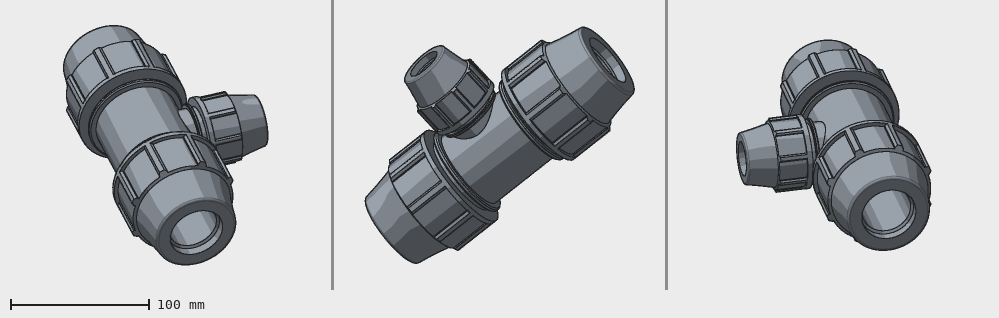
import cadquery as cq

run_length = 205.0
branch_reach = 84.0

rib_count = 8

run_end = dict(
    flange_radius=41.0,
    nut_radius=38.1,
    cone_radius=35.9,
    mouth_radius=30.3,
    cone_sag=0.51,
    mouth_fillet=1.8,
    cone_length=28.5,
    rib_slope=2.3,
    rib_tip_width=3.9,
    rib_width=6.8,
    rib_shoulder=39.0,
    flange_start=62.3,
    flange_end=65.8,
    collar_start=69.5,
    collar_end=73.4,
    collar_radius=35.7,
    collar_chamfer=1.0,
)
run_tube_radius = 30.8
run_bore_radius = 18.0
run_socket_radius = 40.0 / 2
run_socket_depth = 6.8
run_seat_length = 1.2

branch_end = dict(
    flange_radius=54.0 / 2,
    nut_radius=25.0,
    cone_radius=23.4,
    mouth_radius=18.9,
    cone_sag=0.27,
    mouth_fillet=1.2,
    cone_length=21.1,
    rib_slope=1.5,
    rib_tip_width=2.7,
    rib_width=4.5,
    rib_shoulder=25.6,
    flange_start=42.2,
    flange_end=46.1,
    collar_start=50.0,
    collar_end=52.5,
    collar_radius=47.0 / 2,
    collar_chamfer=0.6,
)
branch_tube_radius = 20.3
branch_bore_radius = 11.3
branch_socket_radius = 12.5
branch_socket_depth = 5.1
branch_seat_length = 0.8


def cylinder(radius, start, end):
    """Cylinder along Z between two heights."""
    return cq.Workplane("XY").workplane(offset=start).circle(radius).extrude(end - start)


def revolved(outline):
    """Turn a closed (radius, height) outline about Z."""
    return outline.close().revolve(360, (0, 0, 0), (0, 1, 0))


def cone(end):
    """Slightly flared cone with a rounded mouth edge."""
    mid_radius = (end["mouth_radius"] + end["cone_radius"]) / 2 - end["cone_sag"]
    outline = (
        cq.Workplane("XZ")
        .lineTo(end["mouth_radius"], 0)
        .threePointArc((mid_radius, end["cone_length"] / 2), (end["cone_radius"], end["cone_length"]))
        .lineTo(0, end["cone_length"])
    )
    return revolved(outline).faces("<Z").edges().fillet(end["mouth_fillet"])


def nut(end):
    """Flanged nut: its ribs are flush with the flange and share one sloped front."""
    front = end["cone_length"]
    back = end["flange_end"]
    envelope = revolved(
        cq.Workplane("XZ")
        .moveTo(0, front)
        .lineTo(end["cone_radius"], front)
        .lineTo(end["flange_radius"], front + end["rib_slope"])
        .lineTo(end["flange_radius"], back)
        .lineTo(0, back)
    )
    body = cylinder(end["nut_radius"], front, back)
    body = body.union(cylinder(end["flange_radius"], end["flange_start"], back))
    half_tip = end["rib_tip_width"] / 2
    half_width = end["rib_width"] / 2
    tip = end["flange_radius"]
    shoulder = end["rib_shoulder"]
    rib_outline = [
        (0, -half_width),
        (shoulder, -half_width),
        (tip, -half_tip),
        (tip, half_tip),
        (shoulder, half_width),
        (0, half_width),
    ]
    rib = cq.Workplane("XY").workplane(offset=front).polyline(rib_outline).close().extrude(back - front)
    pitch = 360 / rib_count
    for i in range(rib_count):
        body = body.union(rib.rotate((0, 0, 0), (0, 0, 1), (i + 0.5) * pitch))
    return body.intersect(envelope)


def collar(end):
    """Thin ring behind the nut, with both rims chamfered."""
    ring = cylinder(end["collar_radius"], end["collar_start"], end["collar_end"])
    return ring.faces("<Z or >Z").chamfer(end["collar_chamfer"])


def fitting_end(end):
    """Cone, nut and collar, with the mouth at Z = 0 and the axis towards +Z."""
    return cone(end).union(nut(end)).union(collar(end))


def socket(radius, depth, seat_length, bore_radius):
    """Round hole at a mouth whose conical seat narrows down to the bore."""
    return revolved(
        cq.Workplane("XZ")
        .lineTo(radius, 0)
        .lineTo(radius, depth)
        .lineTo(bore_radius, depth + seat_length)
        .lineTo(0, depth + seat_length)
    )


def placed_on_left(shape):
    """Lay an axial shape along +X with its mouth at the left end of the run."""
    return shape.rotate((0, 0, 0), (0, 1, 0), 90).translate((-run_length / 2, 0, 0))


def placed_on_branch(shape):
    """Lay an axial shape along -Y with its mouth at the end of the branch."""
    return shape.rotate((0, 0, 0), (1, 0, 0), 90).translate((0, branch_reach, 0))


run_tube = placed_on_left(cylinder(run_tube_radius, run_end["flange_end"], run_length - run_end["flange_end"]))
branch_tube = placed_on_branch(cylinder(branch_tube_radius, branch_end["flange_end"], branch_reach))
left_end = placed_on_left(fitting_end(run_end))
result = (
    run_tube.union(branch_tube)
    .union(left_end)
    .union(left_end.mirror("YZ"))
    .union(placed_on_branch(fitting_end(branch_end)))
)

run_socket = placed_on_left(
    socket(run_socket_radius, run_socket_depth, run_seat_length, run_bore_radius)
)
branch_socket = placed_on_branch(
    socket(branch_socket_radius, branch_socket_depth, branch_seat_length, branch_bore_radius)
)
result = (
    result.cut(placed_on_left(cylinder(run_bore_radius, 0, run_length)))
    .cut(run_socket)
    .cut(run_socket.mirror("YZ"))
    .cut(placed_on_branch(cylinder(branch_bore_radius, 0, branch_reach)))
    .cut(branch_socket)
)